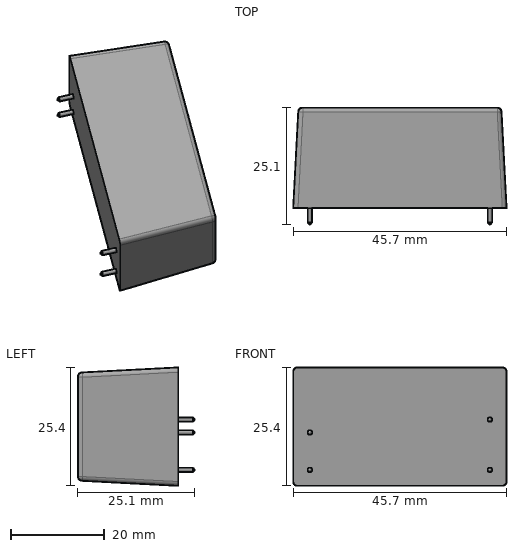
import cadquery as cq

case_width = 45.68
case_height = 25.38
case_depth = 21.5
draft_angle = 3.0
edge_radius = 1.0

overall_depth = 25.05
pin_length = overall_depth - case_depth
pin_radius = 0.5
pin_tip_length = pin_radius

column_spacing = 38.5
left_pin_pitch = 8.0
right_pin_pitch = 10.75
lower_row_z = -9.25
pin_column_x = column_spacing / 2
left_upper_z = lower_row_z + left_pin_pitch
right_upper_z = lower_row_z + right_pin_pitch
pin_positions = [
    (-pin_column_x, lower_row_z),
    (-pin_column_x, left_upper_z),
    (pin_column_x, lower_row_z),
    (pin_column_x, right_upper_z),
]


def make_case():
    """Drafted box with every edge rounded except those of the mounting face."""
    box = (
        cq.Workplane("XZ")
        .rect(case_width, case_height)
        .extrude(-case_depth, taper=draft_angle)
    )
    return box.edges("not(<Y)").fillet(edge_radius)


def make_pin(x, z):
    """Solder pin standing on the mounting face at (x, z)."""
    shank_length = pin_length - pin_tip_length
    profile = (
        cq.Workplane("XY")
        .moveTo(0, 0)
        .lineTo(pin_radius, 0)
        .lineTo(pin_radius, -shank_length)
        .lineTo(0, -pin_length)
        .close()
    )
    pin = profile.revolve(360, (0, 0, 0), (0, 1, 0))
    return pin.translate((x, 0, z))


result = make_case()
for pin_x, pin_z in pin_positions:
    result = result.union(make_pin(pin_x, pin_z))